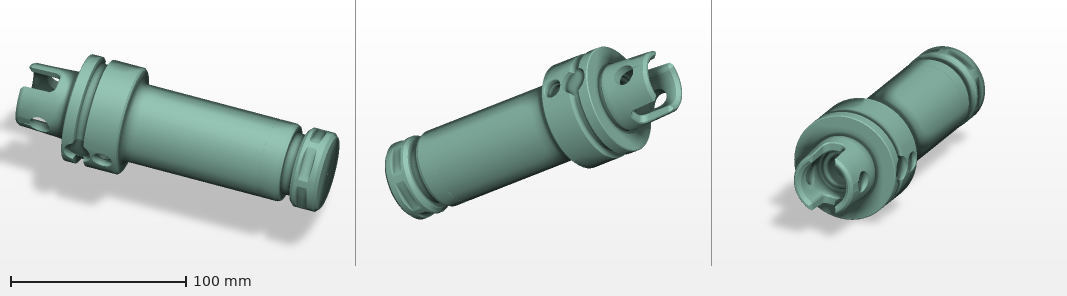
import cadquery as cq

length = 182.0
tip_x = -length / 2

cut_clearance = 1.8

taper_tip_radius = 18.5
taper_base_radius = 20.0
taper_end = 29.8
taper_end_chamfer = 0.7
shank_chamfer_length = 2.0
shank_chamfer_height = 1.3

flange_radius = 31.5
flange_start = 31.8
flange_end = 64.6
flange_front_chamfer = 0.5
flange_rear_chamfer = 1.1
face_recess_radius = 21.3
face_recess_depth = 0.5
gripper_start = 38.5
gripper_end = 45.1
gripper_radius = 27.8
gripper_front_slope = 0.7
gripper_rear_slope = 1.3

body_radius = 23.0
body_end = 159.5
body_fillet = 3.3
body_end_chamfer_length = 2.0
body_end_chamfer_height = 1.0
ring_groove_start = 146.9
ring_groove_width = 1.6
ring_groove_depth = 0.1
neck_radius = 18.0
nut_radius = 23.3
nut_start = 165.8
nut_edge_chamfer = 2.0

pocket_count = 6
pocket_start = 170.4
pocket_width = 5.6
pocket_flat_radius = 21.1
pocket_wall_slope = 0.4

mouth_radius = 16.0
bore_radius = 14.0
bore_end = 26.5
rim_groove_radius = 12.7
rim_groove_depth = 34.5
rim_outer_radius = 11.5
rim_inner_radius = 8.7
floor_depth = 36.4
socket_mouth_radius = 6.0
socket_radius = 5.5
socket_core_radius = 4.4
socket_chamfer_length = 0.5
socket_shoulder_depth = 40.0
socket_depth = 43.7
coolant_radius = 1.3

slot_width = 13.8
slot_depth = 19.8
slot_mouth_flare = 1.5
slot_rim_chamfer = 0.7
slot_corner_radius = 3.8
cross_hole_diameter = 12.5
cross_hole_position = 15.0
mark_groove_width = 5.1
mark_groove_radius = 18.4

dimple_diameter = 16.0
dimple_position = 41.5
dimple_floor_radius = 26.5
screw_hole_position = 56.6
screw_mouth_diameter = 12.0
screw_hole_diameter = 11.0
screw_hole_depth = 4.5
screw_core_diameter = 9.0
screw_core_depth = 7.3
screw_chamfer = (screw_mouth_diameter - screw_hole_diameter) / 2


def revolve_profile(profile):
    """Revolve a closed half section, drawn with X as the axis, around X."""
    return profile.close().revolve(360, (0, 0, 0), (1, 0, 0))


def make_outer_body():
    profile = (
        cq.Workplane("XY")
        .moveTo(0, 0)
        .lineTo(0, taper_tip_radius - shank_chamfer_height)
        .lineTo(shank_chamfer_length, taper_tip_radius)
        .lineTo(taper_end, taper_base_radius)
        .lineTo(taper_end + taper_end_chamfer, taper_base_radius - taper_end_chamfer)
        .lineTo(flange_start + face_recess_depth, taper_base_radius - taper_end_chamfer)
        .lineTo(flange_start + face_recess_depth, face_recess_radius)
        .lineTo(flange_start, face_recess_radius)
        .lineTo(flange_start, flange_radius - flange_front_chamfer)
        .lineTo(flange_start + flange_front_chamfer, flange_radius)
        .lineTo(gripper_start, flange_radius)
        .lineTo(gripper_start + gripper_front_slope, gripper_radius)
        .lineTo(gripper_end - gripper_rear_slope, gripper_radius)
        .lineTo(gripper_end, flange_radius)
        .lineTo(flange_end - flange_rear_chamfer, flange_radius)
        .lineTo(flange_end, flange_radius - flange_rear_chamfer)
        .lineTo(flange_end, body_radius + body_fillet)
        .radiusArc((flange_end + body_fillet, body_radius), -body_fillet)
        .lineTo(ring_groove_start, body_radius)
        .lineTo(ring_groove_start, body_radius - ring_groove_depth)
        .lineTo(ring_groove_start + ring_groove_width, body_radius - ring_groove_depth)
        .lineTo(ring_groove_start + ring_groove_width, body_radius)
        .lineTo(body_end - body_end_chamfer_length, body_radius)
        .lineTo(body_end, body_radius - body_end_chamfer_height)
        .lineTo(body_end, neck_radius)
        .lineTo(nut_start, neck_radius)
        .lineTo(nut_start, nut_radius - nut_edge_chamfer)
        .lineTo(nut_start + nut_edge_chamfer, nut_radius)
        .lineTo(length - nut_edge_chamfer, nut_radius)
        .lineTo(length, nut_radius - nut_edge_chamfer)
        .lineTo(length, 0)
    )
    return revolve_profile(profile)


def make_cavity():
    rim_crest_radius = (rim_outer_radius - rim_inner_radius) / 2
    profile = (
        cq.Workplane("XY")
        .moveTo(0, 0)
        .lineTo(0, mouth_radius)
        .lineTo(shank_chamfer_length, bore_radius)
        .lineTo(bore_end, bore_radius)
        .lineTo(bore_end, rim_groove_radius)
        .lineTo(rim_groove_depth, rim_groove_radius)
        .lineTo(rim_groove_depth, rim_outer_radius)
        .lineTo(bore_end + rim_crest_radius, rim_outer_radius)
        .radiusArc((bore_end + rim_crest_radius, rim_inner_radius), -rim_crest_radius)
        .lineTo(floor_depth, rim_inner_radius)
        .lineTo(floor_depth, socket_mouth_radius)
        .lineTo(floor_depth + socket_chamfer_length, socket_radius)
        .lineTo(socket_shoulder_depth, socket_radius)
        .lineTo(socket_shoulder_depth, socket_core_radius)
        .lineTo(socket_depth, socket_core_radius)
        .lineTo(socket_depth, coolant_radius)
        .lineTo(length, coolant_radius)
        .lineTo(length, 0)
    )
    return revolve_profile(profile)


def make_drive_slots():
    """Slot through the open shank end along Z, with flared corners at the tip."""
    half_width = slot_width / 2
    flared_half_width = half_width + slot_mouth_flare
    return (
        cq.Workplane("XY", origin=(0, 0, -flange_radius))
        .moveTo(0, -flared_half_width)
        .lineTo(shank_chamfer_length, -half_width)
        .lineTo(slot_depth, -half_width)
        .lineTo(slot_depth, half_width)
        .lineTo(shank_chamfer_length, half_width)
        .lineTo(0, flared_half_width)
        .close()
        .extrude(2 * flange_radius)
        .edges("|Z and >X")
        .fillet(slot_corner_radius)
    )


def chamfer_slot_rims(shank):
    """Chamfer the outer and inner edges of both drive slots."""
    reach = slot_width / 2 + slot_rim_chamfer
    slot_regions = cq.selectors.BoxSelector(
        (shank_chamfer_length, -reach, bore_radius / 2),
        (slot_depth + slot_rim_chamfer, reach, flange_radius),
    ) + cq.selectors.BoxSelector(
        (shank_chamfer_length, -reach, -flange_radius),
        (slot_depth + slot_rim_chamfer, reach, -bore_radius / 2),
    )
    wall_edges = cq.selectors.ParallelDirSelector(cq.Vector(0, 0, 1))
    return shank.edges(slot_regions - wall_edges).chamfer(slot_rim_chamfer)


def side_cylinder(position, diameter, inner_radius, outer_radius):
    """Cylinder along -Y that spans two distances from the X axis."""
    return (
        cq.Workplane("XZ", origin=(position, -inner_radius, 0))
        .circle(diameter / 2)
        .extrude(outer_radius - inner_radius)
    )


def make_side_recesses():
    """Flange recesses and shank marking groove on the -Y side."""
    outside = flange_radius + cut_clearance
    dimple = side_cylinder(dimple_position, dimple_diameter, dimple_floor_radius, outside)
    screw_floor = flange_radius - screw_hole_depth
    screw_hole = side_cylinder(screw_hole_position, screw_hole_diameter, screw_floor, outside)
    core_floor = flange_radius - screw_core_depth
    screw_core = side_cylinder(screw_hole_position, screw_core_diameter, core_floor, outside)
    countersink = (
        cq.Workplane("XZ", origin=(screw_hole_position, -flange_radius, 0))
        .circle(screw_mouth_diameter / 2)
        .workplane(offset=-2 * screw_chamfer)
        .circle(screw_hole_diameter / 2)
        .loft()
    )
    mark_groove = cq.Workplane("XY").box(
        cross_hole_position, taper_base_radius - mark_groove_radius, mark_groove_width,
        centered=(False, False, True),
    ).translate((0, -taper_base_radius, 0))
    return dimple.union(screw_hole).union(screw_core).union(countersink).union(mark_groove)


def make_wrench_pocket():
    """Flat-bottomed pocket on the -Y side of the nut, with flared walls."""
    pocket_end = pocket_start + pocket_width
    outside = nut_radius + cut_clearance
    flare = pocket_wall_slope * (outside - pocket_flat_radius)
    return (
        cq.Workplane("XY", origin=(0, 0, -nut_radius))
        .moveTo(pocket_start, -pocket_flat_radius)
        .lineTo(pocket_end, -pocket_flat_radius)
        .lineTo(pocket_end + flare, -outside)
        .lineTo(pocket_start - flare, -outside)
        .close()
        .extrude(2 * nut_radius)
    )


holder = make_outer_body().cut(make_cavity()).cut(make_drive_slots())
holder = chamfer_slot_rims(holder)

holder = holder.cut(
    side_cylinder(cross_hole_position, cross_hole_diameter, -flange_radius, flange_radius)
)

for side_angle in (0, 180):
    holder = holder.cut(make_side_recesses().rotate((0, 0, 0), (1, 0, 0), side_angle))

for index in range(pocket_count):
    pocket_angle = index * 360 / pocket_count
    holder = holder.cut(make_wrench_pocket().rotate((0, 0, 0), (1, 0, 0), pocket_angle))

result = holder.translate((tip_x, 0, 0))